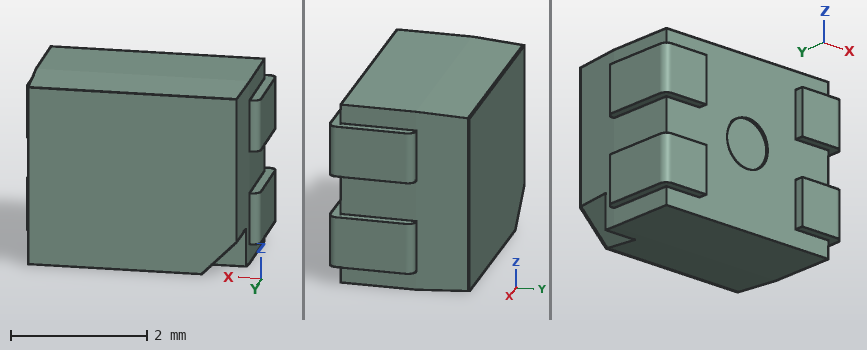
import cadquery as cq
import math

overall_width = 3.5
overall_depth = 2.1
housing_height = 2.8

lead_thickness = 0.15
lead_reach = 1.302
lead_width = 0.785
lead_pitch = 1.425
pad_length = 0.8
lead_corner_radius = 0.12

housing_width = overall_width - 2 * lead_thickness
draft_angle = 3.0
film_thickness = 0.025
housing_front = overall_depth - film_thickness
recess_diameter = 0.805
recess_depth = 0.035

mark_depth = 0.6
mark_leg = 0.602


def drafted_block(start, end):
    """Block from Y = start to Y = end whose sides lean in from the parting line at the lead ends."""
    inset = (start - lead_reach) * math.tan(math.radians(draft_angle))
    base_plane = cq.Plane(origin=(0, start, 0), xDir=(1, 0, 0), normal=(0, 1, 0))
    return (
        cq.Workplane(base_plane)
        .rect(housing_width - 2 * inset, housing_height - 2 * inset)
        .extrude(end - start, taper=draft_angle)
    )


def make_mark_cutter():
    """Triangular prism that cuts the polarity corner through film and housing."""
    corner_x = -housing_width / 2
    corner_z = -housing_height / 2
    return (
        cq.Workplane("XZ", origin=(0, overall_depth, 0))
        .moveTo(corner_x, corner_z)
        .lineTo(corner_x + mark_leg, corner_z)
        .lineTo(corner_x, corner_z + mark_leg)
        .close()
        .extrude(mark_depth)
    )


def make_housing():
    """Straight base and drafted front, with the polarity cut and a shallow round recess at the back."""
    base = (
        cq.Workplane("XZ", origin=(0, lead_reach, 0))
        .rect(housing_width, housing_height)
        .extrude(lead_reach - lead_thickness)
    )
    recess = (
        cq.Workplane("XZ", origin=(0, lead_thickness + recess_depth, 0))
        .circle(recess_diameter / 2)
        .extrude(recess_depth)
    )
    front = drafted_block(lead_reach, housing_front)
    return base.union(front).cut(make_mark_cutter()).cut(recess)


def make_film():
    """Thin cover on the +Y face that continues the housing draft and polarity cut."""
    return drafted_block(housing_front, overall_depth).cut(make_mark_cutter())


def make_lead(side, center_z):
    """L-shaped lead: a leg along the housing side and a pad under the mounting face."""
    outer_x = side * overall_width / 2
    inner_x = side * housing_width / 2
    pad_end_x = side * (overall_width / 2 - pad_length)
    return (
        cq.Workplane("XY", origin=(0, 0, center_z))
        .moveTo(pad_end_x, 0)
        .lineTo(outer_x, 0)
        .lineTo(outer_x, lead_reach)
        .lineTo(inner_x, lead_reach)
        .lineTo(inner_x, lead_thickness)
        .lineTo(pad_end_x, lead_thickness)
        .close()
        .extrude(lead_width / 2, both=True)
        .edges(cq.selectors.NearestToPointSelector((outer_x, 0, center_z)))
        .fillet(lead_corner_radius)
        .edges(cq.selectors.NearestToPointSelector((outer_x, lead_reach, center_z)))
        .fillet(lead_corner_radius)
    )


housing = make_housing()
film = make_film()
leads = [
    make_lead(side, row * lead_pitch / 2)
    for side in (-1, 1)
    for row in (-1, 1)
]

result = cq.Compound.makeCompound([housing.val(), film.val(), *[lead.val() for lead in leads]])